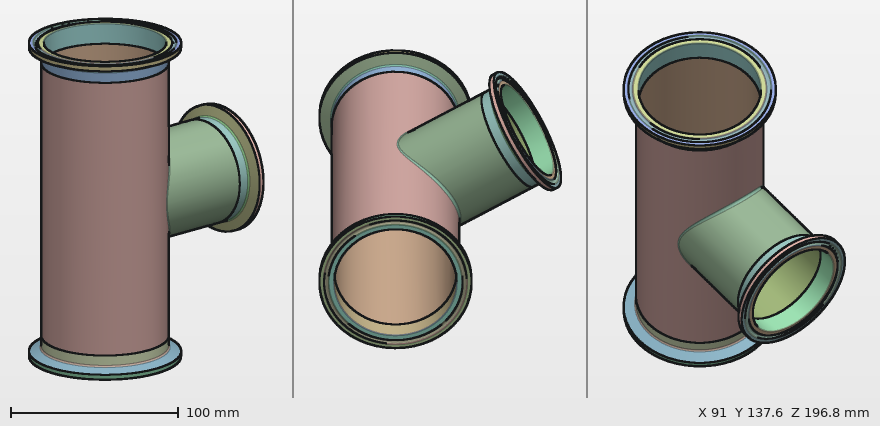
import cadquery as cq
import math

run_length = 196.8
branch_reach = 92.1

run_outer_radius = 76.2 / 2
branch_outer_radius = 63.5 / 2
wall = 1.5
junction_fillet = 1.5

run_flange_radius = 91.0 / 2
branch_flange_radius = 77.5 / 2
ferrule_length = 12.8
rim_thickness = 3.1
cone_angle = 20.0
neck_fillet = 1.2
bore_edge_fillet = 0.4

groove_inset = 4.1
groove_width = 2.8
groove_depth = 1.0
groove_edge_fillet = 0.5


def make_tee():
    """Run pipe with a filleted side branch, both bored through."""
    body_length = run_length - 2 * ferrule_length
    branch_length = branch_reach - ferrule_length

    def run_cylinder(radius):
        return cq.Workplane("XY").circle(radius).extrude(body_length / 2, both=True)

    def branch_cylinder(radius):
        return cq.Workplane("XZ").circle(radius).extrude(-branch_length)

    outside = run_cylinder(run_outer_radius).union(branch_cylinder(branch_outer_radius))
    outside = outside.edges("not(%LINE or %CIRCLE)").fillet(junction_fillet)
    run_bore = run_cylinder(run_outer_radius - wall)
    branch_bore = branch_cylinder(branch_outer_radius - wall)
    return outside.cut(run_bore).cut(branch_bore)


def make_ferrule(pipe_radius, flange_radius):
    """Ferrule along Z with its grooved sealing face at Z = 0 and its neck below."""
    bore_radius = pipe_radius - wall
    cone_drop = (flange_radius - pipe_radius) * math.tan(math.radians(cone_angle))
    cone_foot = -rim_thickness - cone_drop
    ferrule = (
        cq.Workplane("XZ")
        .moveTo(bore_radius, 0)
        .lineTo(flange_radius, 0)
        .lineTo(flange_radius, -rim_thickness)
        .lineTo(pipe_radius, cone_foot)
        .lineTo(pipe_radius, -ferrule_length)
        .lineTo(bore_radius, -ferrule_length)
        .close()
        .revolve(360, (0, 0, 0), (0, 1, 0))
    )
    foot_edge = cq.selectors.BoxSelector(
        (-flange_radius, -flange_radius, cone_foot - neck_fillet / 2),
        (flange_radius, flange_radius, cone_foot + neck_fillet / 2),
        boundingbox=True,
    )
    ferrule = ferrule.edges(foot_edge).fillet(neck_fillet)
    ferrule = ferrule.faces(">Z").edges(cq.selectors.RadiusNthSelector(0)).fillet(bore_edge_fillet)

    groove_radius = flange_radius - groove_inset
    groove = (
        cq.Workplane("XZ")
        .moveTo(groove_radius - groove_width / 2, 0)
        .threePointArc((groove_radius, -groove_depth), (groove_radius + groove_width / 2, 0))
        .close()
        .revolve(360, (0, 0, 0), (0, 1, 0))
    )
    ferrule = ferrule.cut(groove)
    rims = ferrule.faces(">Z").edges("%CIRCLE")
    inner_rim = rims.edges(cq.selectors.RadiusNthSelector(1))
    outer_rim = rims.edges(cq.selectors.RadiusNthSelector(2))
    groove_rims = inner_rim.add(outer_rim)
    return groove_rims.fillet(groove_edge_fillet)


tee = make_tee()

run_ferrules = []
for flip_angle in (0, 180):
    ferrule = make_ferrule(run_outer_radius, run_flange_radius).translate((0, 0, run_length / 2))
    run_ferrules.append(ferrule.rotate((0, 0, 0), (1, 0, 0), flip_angle).val())

branch_ferrule = (
    make_ferrule(branch_outer_radius, branch_flange_radius)
    .translate((0, 0, branch_reach))
    .rotate((0, 0, 0), (1, 0, 0), -90)
)

result = cq.Compound.makeCompound([tee.val(), *run_ferrules, branch_ferrule.val()])